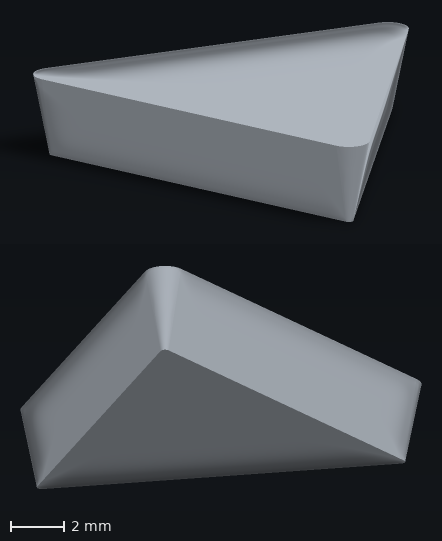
import cadquery as cq
import math

inscribed_diameter = 9.525
corner_radius = 0.79375
thickness = 3.175
clearance_angle = 11.0

inscribed_radius = inscribed_diameter / 2
side_inset = thickness * math.tan(math.radians(clearance_angle))

corner_count = 3
corner_spacing = 360 / corner_count
half_span = corner_spacing / 2
corner_directions = [i * corner_spacing for i in range(corner_count)]

corner_centre_distance = (inscribed_radius - corner_radius) / math.cos(math.radians(half_span))


def corner_point(direction, radius, turn):
    """Point on a corner arc, turned by an angle from the corner's own direction."""
    centre_angle = math.radians(direction)
    arc_angle = math.radians(direction + turn)
    x = corner_centre_distance * math.cos(centre_angle) + radius * math.cos(arc_angle)
    y = corner_centre_distance * math.sin(centre_angle) + radius * math.sin(arc_angle)
    return (x, y)


def rounded_triangle(workplane, radius):
    """Closed triangle outline whose corners are arcs of the given radius."""
    outline = workplane.moveTo(*corner_point(corner_directions[-1], radius, half_span))
    for direction in corner_directions:
        outline = outline.lineTo(*corner_point(direction, radius, -half_span))
        outline = outline.threePointArc(
            corner_point(direction, radius, 0),
            corner_point(direction, radius, half_span),
        )
    return outline.close()


bottom_outline = rounded_triangle(cq.Workplane("XY"), corner_radius - side_inset)
top_plane = bottom_outline.workplane(offset=thickness, origin=(0, 0, 0))
both_outlines = rounded_triangle(top_plane, corner_radius)
result = both_outlines.loft(ruled=True)